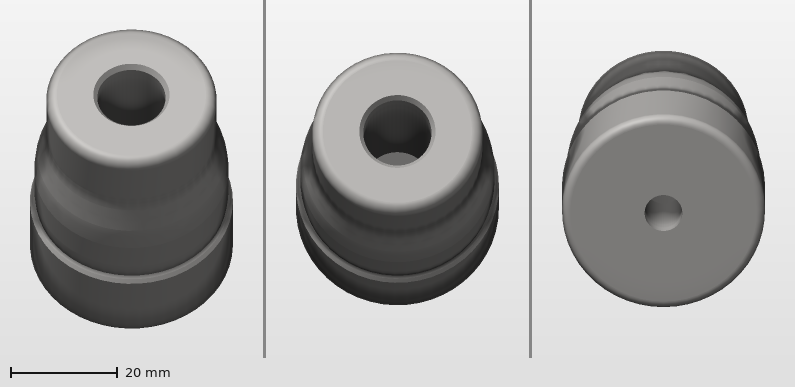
import cadquery as cq
import math

height = 50.0
base_radius = 19.05
base_top = 16.25
base_fillet = 1.55
base_chamfer_height = 0.7
base_chamfer_width = 0.55

top_radius = 16.0
top_fillet = 2.0
grip_radius = 18.25
grip_bottom = 20.0
grip_top = 26.05
shoulder_angle = math.radians(14.8)
shoulder_convex_radius = 18.4
shoulder_concave_radius = 10.75
neck_radius = 18.0
neck_height = 16.75

cap_thickness = 3.2
core_radius = top_radius - cap_thickness
core_top = height - cap_thickness
bore_radius = 6.4
bore_floor = base_top
bore_chamfer_width = 0.75
bore_chamfer_depth = 0.95
through_radius = 3.55

rim_radius = base_radius - base_chamfer_width


def make_core():
    """Wide base with a plain central post, a stepped bore and a chamfered rim."""
    chamfer_bottom = base_top - base_chamfer_height
    fillet_reach = base_fillet * math.sin(math.radians(45))
    profile = (
        cq.Workplane("XZ")
        .moveTo(through_radius, 0)
        .lineTo(base_radius - base_fillet, 0)
        .threePointArc(
            (base_radius - base_fillet + fillet_reach, base_fillet - fillet_reach),
            (base_radius, base_fillet),
        )
        .lineTo(base_radius, chamfer_bottom)
        .lineTo(rim_radius, base_top)
        .lineTo(core_radius, base_top)
        .lineTo(core_radius, core_top)
        .lineTo(bore_radius, core_top)
        .lineTo(bore_radius, bore_floor)
        .lineTo(through_radius, bore_floor)
        .close()
    )
    return profile.revolve(360, (0, 0, 0), (0, 1, 0))


def convex_point(angle):
    """Point of the lower shoulder arc, tangent to the grip at angle zero."""
    return (
        grip_radius - shoulder_convex_radius * (1 - math.cos(angle)),
        grip_top + shoulder_convex_radius * math.sin(angle),
    )


def concave_point(angle, arc_end):
    """Point of the upper shoulder arc, tangent to the top cylinder at angle zero."""
    return (
        top_radius + shoulder_concave_radius * (1 - math.cos(angle)),
        arc_end - shoulder_concave_radius * math.sin(angle),
    )


def make_sleeve():
    """Capped grip that fits over the post and rests on the base."""
    cone_bottom_radius, cone_bottom = convex_point(shoulder_angle)
    cone_top_radius = concave_point(shoulder_angle, 0)[0]
    cone_height = (cone_bottom_radius - cone_top_radius) / math.tan(shoulder_angle)
    cone_top = cone_bottom + cone_height
    shoulder_top = cone_top + shoulder_concave_radius * math.sin(shoulder_angle)

    neck_rise = grip_bottom - neck_height
    neck_inset = grip_radius - neck_radius
    neck_arc_radius = (neck_rise**2 + neck_inset**2) / (2 * neck_inset)
    half_neck_angle = math.asin(neck_rise / neck_arc_radius) / 2
    neck_middle = (
        grip_radius - neck_arc_radius * (1 - math.cos(half_neck_angle)),
        grip_bottom - neck_arc_radius * math.sin(half_neck_angle),
    )
    fillet_reach = top_fillet * math.sin(math.radians(45))

    profile = (
        cq.Workplane("XZ")
        .moveTo(core_radius, base_top)
        .lineTo(rim_radius, base_top)
        .lineTo(neck_radius, neck_height)
        .threePointArc(neck_middle, (grip_radius, grip_bottom))
        .lineTo(grip_radius, grip_top)
        .threePointArc(convex_point(shoulder_angle / 2), (cone_bottom_radius, cone_bottom))
        .lineTo(cone_top_radius, cone_top)
        .threePointArc(concave_point(shoulder_angle / 2, shoulder_top), (top_radius, shoulder_top))
        .lineTo(top_radius, height - top_fillet)
        .threePointArc(
            (top_radius - top_fillet + fillet_reach, height - top_fillet + fillet_reach),
            (top_radius - top_fillet, height),
        )
        .lineTo(bore_radius + bore_chamfer_width, height)
        .lineTo(bore_radius, height - bore_chamfer_depth)
        .lineTo(bore_radius, core_top)
        .lineTo(core_radius, core_top)
        .close()
    )
    return profile.revolve(360, (0, 0, 0), (0, 1, 0))


core = make_core()
sleeve = make_sleeve()
result = cq.Compound.makeCompound([core.val(), sleeve.val()])